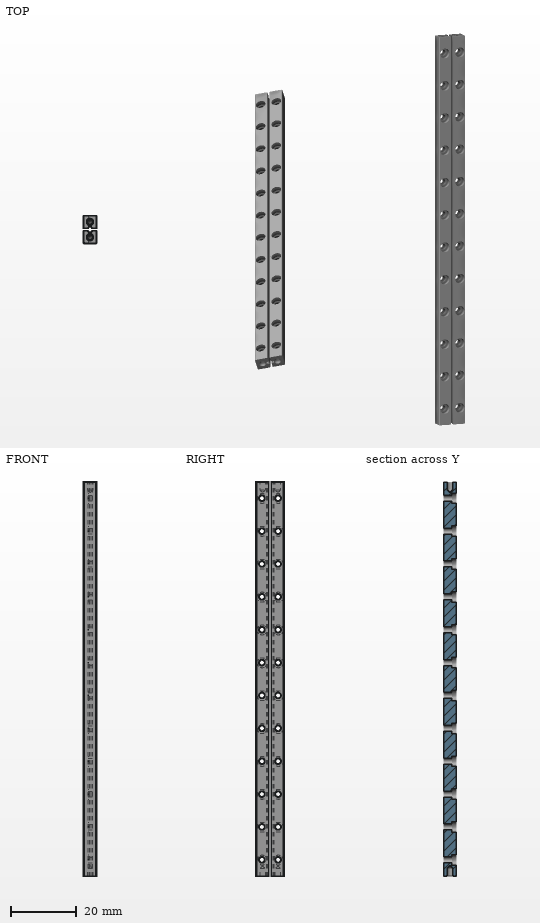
import cadquery as cq
import math

length = 120.0
overall_depth = 8.5
rail_width = length / 30
rail_gap = 0.7
outer_chamfer = 0.2
inner_chamfer = 0.1

groove_apex = 1.05
relief_width = 0.5
relief_bottom = 1.2

hole_count = 12
hole_edge_distance = 1.8
bore_diameter = 1.7
counterbore_diameter = 3.0
counterbore_depth = 1.5

end_hole_edge_distance = 1.9
end_hole_diameter = 1.7
end_hole_mouth = 2.0
end_hole_depth = 2.4
drill_point_angle = 90.0

outer_face = overall_depth / 2
inner_face = rail_gap / 2
hole_pitch = length / hole_count
hole_y = outer_face - hole_edge_distance
end_hole_y = outer_face - end_hole_edge_distance


def rail_blank():
    """Bar on the +Y side, chamfered along its four long edges."""
    blank = (
        cq.Workplane("XY")
        .box(rail_width, outer_face - inner_face, length, centered=(True, False, False))
        .translate((0, inner_face, 0))
    )
    blank = blank.faces(">Y").edges("|Z").chamfer(outer_chamfer)
    return blank.faces("<Y").edges("|Z").chamfer(inner_chamfer)


def groove_cutter():
    """V-groove with a narrow relief slot at its root, over the full length."""
    vee = (
        cq.Workplane("XY")
        .polyline([(-groove_apex, 0), (groove_apex, 0), (0, groove_apex)])
        .close()
        .extrude(length)
    )
    relief = cq.Workplane("XY").box(relief_width, relief_bottom, length, centered=(True, False, False))
    return vee.union(relief)


def cross_hole_cutter(z):
    """Through bore along X with a counterbore sunk from the -X side."""
    plane = cq.Plane(origin=(-rail_width / 2, hole_y, z), xDir=(0, 1, 0), normal=(1, 0, 0))
    bore = cq.Workplane(plane).circle(bore_diameter / 2).extrude(rail_width)
    counterbore = cq.Workplane(plane).circle(counterbore_diameter / 2).extrude(counterbore_depth)
    return bore.union(counterbore)


def end_hole_cutter():
    """Blind hole drilled down from the top end, with a bevelled mouth and a conical bottom."""
    radius = end_hole_diameter / 2
    mouth_radius = end_hole_mouth / 2
    bevel = mouth_radius - radius
    tip_depth = end_hole_depth + radius / math.tan(math.radians(drill_point_angle / 2))
    profile = [
        (0, 0),
        (mouth_radius, 0),
        (radius, -bevel),
        (radius, -end_hole_depth),
        (0, -tip_depth),
    ]
    drill = cq.Workplane("XZ").polyline(profile).close().revolve(360, (0, 0), (0, 1))
    return drill.translate((0, end_hole_y, length))


def make_rail():
    """Complete rail on the +Y side."""
    rail = rail_blank().cut(groove_cutter())
    for index in range(hole_count):
        rail = rail.cut(cross_hole_cutter((index + 0.5) * hole_pitch))
    top_hole = end_hole_cutter()
    bottom_hole = top_hole.mirror("XY", (0, 0, length / 2))
    return rail.cut(top_hole).cut(bottom_hole)


rails = [make_rail(), make_rail().mirror("XZ")]

result = cq.Compound.makeCompound([rail.val() for rail in rails])